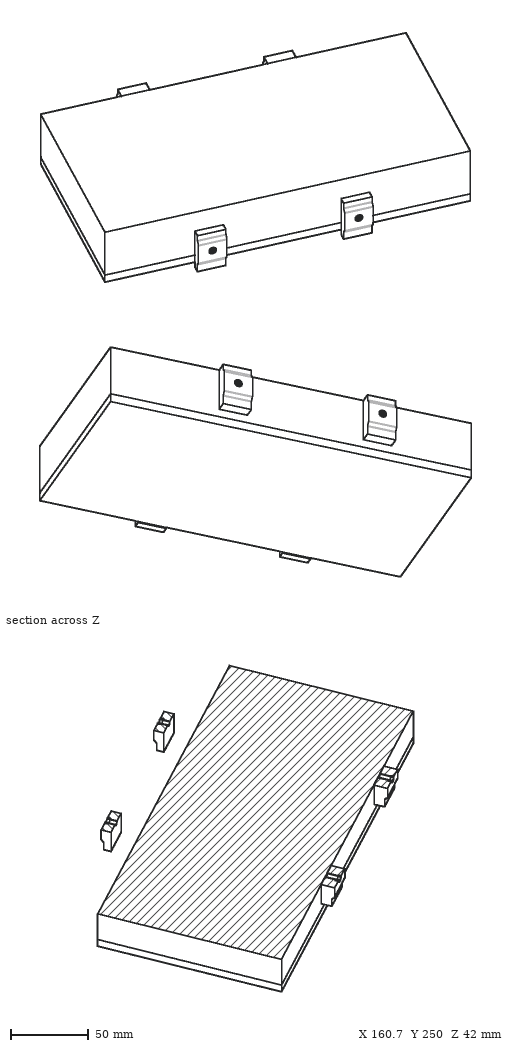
import cadquery as cq

LENGTH = 250.0
WIDTH = 126.5
HEIGHT = 42.0
LID_THICKNESS = 6.0

CLIP_WIDTH = 19.5
CLIP_HEIGHT = 30.2
CLIP_CENTERS_Y = (-60.0, 40.0)
PAD_RISE = 2.0
PAD_TOP_DROP = 6.5
PAD_BOTTOM_DROP = 21.5
SLOPE_RUN = 2.5
SLOPE_FILLET = 1.0

LEFT_CLIP_DEPTH = 9.2
RIGHT_CLIP_DEPTH = 7.0
RIGHT_CLIP_GAP = 18.0

BUSH_DROP = 13.5
HEAD_DIAMETER = 5.0
HEAD_DEPTH = 2.0
SHANK_DIAMETER = 3.5
BORE_DIAMETER = 2.8


def make_slab(bottom, top):
    """Slab as wide and long as the box, between two heights."""
    base = cq.Workplane("XY", origin=(WIDTH / 2, 0, bottom))
    return base.rect(WIDTH, LENGTH).extrude(top - bottom)


def make_rod(diameter, start, end):
    """Cylinder on the bush axis, between two distances from the back of the clip."""
    base = cq.Workplane("YZ", origin=(start, 0, -BUSH_DROP))
    return base.circle(diameter / 2).extrude(end - start)


def make_headed_rod(depth):
    """Outer shape of a bush, which is also the shape of its seat in the clip."""
    shank = make_rod(SHANK_DIAMETER, 0, depth)
    head = make_rod(HEAD_DIAMETER, depth - HEAD_DEPTH, depth)
    return shank.union(head)


def make_bush(depth):
    return make_headed_rod(depth).cut(make_rod(BORE_DIAMETER, 0, depth))


def make_clip(depth):
    """Clip with its back at X = 0 and its pad facing +X."""
    plate_face = depth - PAD_RISE
    slope_corners = [
        (plate_face, SLOPE_RUN - PAD_TOP_DROP),
        (depth, -PAD_TOP_DROP),
        (depth, -PAD_BOTTOM_DROP),
        (plate_face, -PAD_BOTTOM_DROP - SLOPE_RUN),
    ]
    outline = [
        (0, 0),
        (plate_face, 0),
        *slope_corners,
        (plate_face, -CLIP_HEIGHT),
        (0, -CLIP_HEIGHT),
    ]
    body = cq.Workplane("XZ").polyline(outline).close().extrude(CLIP_WIDTH / 2, both=True)

    sloped_edges = body.newObject([])
    for x, z in slope_corners:
        sloped_edges = sloped_edges.add(body.edges(cq.selectors.NearestToPointSelector((x, 0, z))))
    body = sloped_edges.fillet(SLOPE_FILLET)

    return body.cut(make_headed_rod(depth))


def place_left(body, center_y):
    """Turn a body to face -X, with its back against the left side of the box."""
    return body.mirror("YZ").translate((0, center_y, 0))


def place_right(body, center_y):
    """Move a body to the right of the box, across the gap."""
    return body.translate((WIDTH + RIGHT_CLIP_GAP, center_y, 0))


lid_top = LID_THICKNESS - HEIGHT
housing = make_slab(lid_top, 0)
lid = make_slab(-HEIGHT, lid_top)

clips = []
bushes = []
for center_y in CLIP_CENTERS_Y:
    for place, depth in ((place_left, LEFT_CLIP_DEPTH), (place_right, RIGHT_CLIP_DEPTH)):
        clips.append(place(make_clip(depth), center_y).val())
        bushes.append(place(make_bush(depth), center_y).val())

result = cq.Compound.makeCompound([housing.val(), lid.val(), *clips, *bushes])